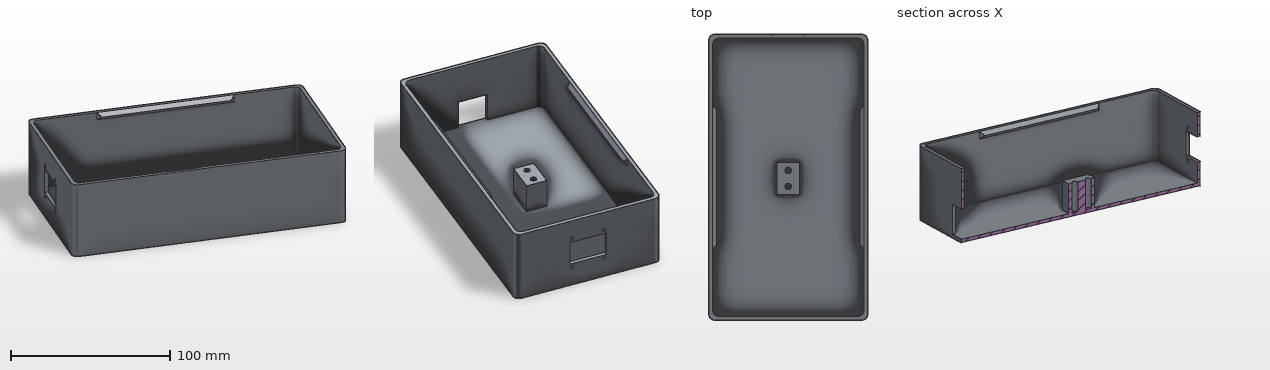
import cadquery as cq

width, length, height = 100.0, 180.0, 50.0
wall = 2.5
corner_radius = 4.0
inner_width = width - 2 * wall
inner_length = length - 2 * wall

front_window_width, front_window_height = 25.0, 17.0
screw_hole_diameter = 2.0
screw_hole_spacing = 22.1
back_window_width, back_window_height = 20.0, 20.0

post_width, post_length, post_height = 14.0, 20.0, 20.0
post_y = -0.7
post_hole_diameter = 4.0
post_hole_spacing = 10.0

ridge_length = 90.0
ridge_depth = 2.5


def open_box():
    outer = cq.Workplane("XY").box(width, length, height, centered=(True, True, False))
    outer = outer.edges("|Z").fillet(corner_radius)
    cavity = (
        cq.Workplane("XY", origin=(0, 0, wall))
        .box(inner_width, inner_length, height, centered=(True, True, False))
        .edges("|Z")
        .fillet(corner_radius)
    )
    return outer.cut(cavity)


def front_openings():
    """Window with a screw hole near each corner, centred on the -Y wall."""
    face = cq.Workplane("XZ", origin=(0, -length / 2 + wall, height / 2))
    window = face.rect(front_window_width, front_window_height).extrude(wall)
    screw_holes = (
        face.rect(screw_hole_spacing, screw_hole_spacing, forConstruction=True)
        .vertices()
        .circle(screw_hole_diameter / 2)
        .extrude(wall)
    )
    return window.union(screw_holes)


def back_window():
    """Window standing on the floor, through the +Y wall."""
    centre_z = wall + back_window_height / 2
    face = cq.Workplane("XZ", origin=(0, length / 2, centre_z))
    return face.rect(back_window_width, back_window_height).extrude(wall)


def post():
    """Block on the floor with two holes that stop at floor level."""
    base = cq.Workplane("XY", origin=(0, post_y, wall))
    block = base.rect(post_width, post_length).extrude(post_height)
    holes = (
        base.rarray(1.8, post_hole_spacing, 1, 2)
        .circle(post_hole_diameter / 2)
        .extrude(post_height)
    )
    return block.cut(holes)


def ridge(side):
    """Triangular ridge with 45 degree flanks and mitred ends; side is -1 or 1 along X."""
    wall_x = side * inner_width / 2
    crest_x = wall_x - side * ridge_depth
    profile = [
        (wall_x, height),
        (crest_x, height - ridge_depth),
        (wall_x, height - 2 * ridge_depth),
    ]
    bar = (
        cq.Workplane("XZ", origin=(0, ridge_length / 2, 0))
        .polyline(profile)
        .close()
        .extrude(ridge_length)
    )
    half_base = ridge_length / 2
    half_crest = half_base - ridge_depth
    plan = [
        (wall_x, -half_base),
        (crest_x, -half_crest),
        (crest_x, half_crest),
        (wall_x, half_base),
    ]
    mitred_block = cq.Workplane("XY").polyline(plan).close().extrude(height)
    return bar.intersect(mitred_block)


result = open_box().cut(front_openings()).cut(back_window()).union(post())
for side in (-1, 1):
    result = result.union(ridge(side))